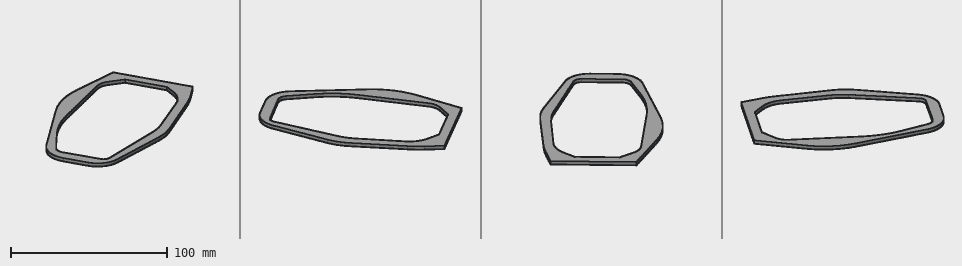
import cadquery as cq
import math

length = 125.1
thickness = 2.5

top_bar = 6.6
bottom_bar = 7.5
window_tilt = 0.4

window_top = length - top_bar
window_bottom_right = bottom_bar + window_tilt

outer_corners = [
    (17.8, 0.0, 17.5),
    (60.3, 0.0, 16.9),
    (79.4, 57.0, 36.3),
    (75.3, 107.3, 62.5),
    (70.7, length, 0.0),
    (15.8, length, 0.0),
    (-2.6, 77.4, 52.5),
]

window_corners = [
    (23.3, bottom_bar, 6.5),
    (57.8, window_bottom_right, 5.0),
    (72.2, 61.2, 33.8),
    (68.8, 107.7, 18.8),
    (55.4, window_top, 0.0),
    (26.5, window_top, 0.0),
    (13.6, 108.2, 11.3),
    (10.0, 42.5, 65.0),
]


def rounded_corner(before, corner, after):
    """Start, middle and end of the arc that rounds a corner."""
    x, y, radius = corner
    to_before = cq.Vector(before[0] - x, before[1] - y).normalized()
    to_after = cq.Vector(after[0] - x, after[1] - y).normalized()
    half_angle = to_before.getAngle(to_after) / 2
    tangent_length = radius / math.tan(half_angle)
    apex_distance = radius / math.sin(half_angle) - radius
    vertex = cq.Vector(x, y)
    inward = (to_before + to_after).normalized()
    start = vertex + to_before * tangent_length
    middle = vertex + inward * apex_distance
    end = vertex + to_after * tangent_length
    return start, middle, end


def rounded_plate(corners):
    """Flat plate whose polygon outline has its own radius at each corner."""
    count = len(corners)
    arcs = [
        rounded_corner(corners[i - 1], corners[i], corners[(i + 1) % count])
        for i in range(count)
    ]
    outline = cq.Workplane("XY").moveTo(*arcs[0][2].toTuple()[:2])
    for (start, middle, end), corner in zip(arcs[1:] + arcs[:1], corners[1:] + corners[:1]):
        outline = outline.lineTo(start.x, start.y)
        if corner[2] > 0:
            outline = outline.threePointArc((middle.x, middle.y), (end.x, end.y))
    return outline.close().extrude(thickness)


result = rounded_plate(outer_corners).cut(rounded_plate(window_corners))